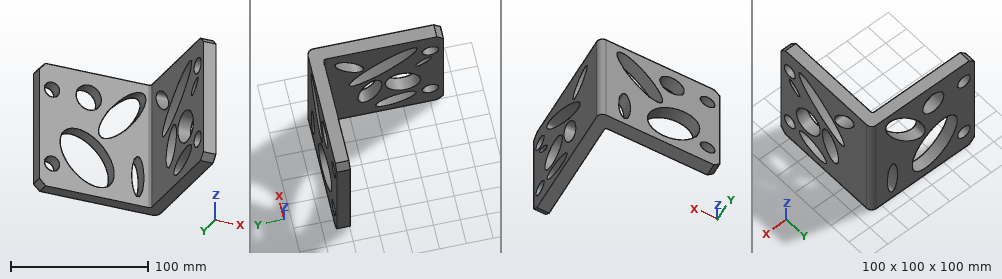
import cadquery as cq

SIZE = 100.0
THICKNESS = 10.2
OUTER_BEND_RADIUS = 5.0
INNER_BEND_RADIUS = 1.7
CORNER_CHAMFER = 5.0

BACK_HOLE_DIAMETER = 12.0
SIDE_HOLE_DIAMETER = 12.1
BACK_HOLES = [(10.2, 79.7), (10.2, 19.3)]
SIDE_HOLES = [(9.8, 79.6), (9.8, 19.6)]
LARGE_HOLE_DIAMETER = 20.2
LARGE_HOLE = (39.8, 79.5)

BACK_ELLIPSES = [
    (66.7, 70.6, 54.5, 19.0, 50.0),
    (38.5, 30.0, 51.6, 34.0, 134.0),
    (79.3, 23.4, 32.5, 9.7, 90.0),
]
SIDE_ELLIPSES = [
    (45.1, 69.0, 63.1, 15.3, 141.6),
    (70.3, 79.0, 27.2, 11.4, 43.4),
    (14.9, 65.0, 14.5, 5.0, 138.7),
    (30.4, 39.4, 28.2, 24.2, 45.0),
    (54.9, 34.6, 32.2, 15.1, 109.4),
    (35.5, 14.4, 31.2, 12.5, 163.1),
]


def bracket_body():
    """L-shaped body with a rounded bend and chamfered free corners."""
    inner = SIZE - THICKNESS
    body = (
        cq.Workplane("XY")
        .polyline([
            (0, SIZE),
            (SIZE, SIZE),
            (SIZE, 0),
            (inner, 0),
            (inner, inner),
            (0, inner),
        ])
        .close()
        .extrude(SIZE)
    )
    body = body.edges(cq.selectors.NearestToPointSelector((SIZE, SIZE, SIZE / 2))).fillet(OUTER_BEND_RADIUS)
    body = body.edges(cq.selectors.NearestToPointSelector((inner, inner, SIZE / 2))).fillet(INNER_BEND_RADIUS)
    body = body.faces("<X").edges("|Y").chamfer(CORNER_CHAMFER)
    return body.faces("<Y").edges("|X").chamfer(CORNER_CHAMFER)


def round_cutters(plane, centres, diameter, depth):
    return plane.pushPoints(centres).circle(diameter / 2).extrude(depth)


def cut_ellipses(body, plane, ellipses, depth):
    for along, height, long_axis, short_axis, tilt in ellipses:
        cutter = (
            plane.center(along, height)
            .ellipse(long_axis / 2, short_axis / 2, rotation_angle=tilt)
            .extrude(depth)
        )
        body = body.cut(cutter)
    return body


back_plane = cq.Workplane("XZ", origin=(0, SIZE, 0))
side_plane = cq.Workplane("YZ", origin=(SIZE, 0, 0))

result = bracket_body()
result = result.cut(round_cutters(back_plane, BACK_HOLES, BACK_HOLE_DIAMETER, THICKNESS))
result = result.cut(round_cutters(back_plane, [LARGE_HOLE], LARGE_HOLE_DIAMETER, THICKNESS))
result = result.cut(round_cutters(side_plane, SIDE_HOLES, SIDE_HOLE_DIAMETER, -THICKNESS))
result = cut_ellipses(result, back_plane, BACK_ELLIPSES, THICKNESS)
result = cut_ellipses(result, side_plane, SIDE_ELLIPSES, -THICKNESS)